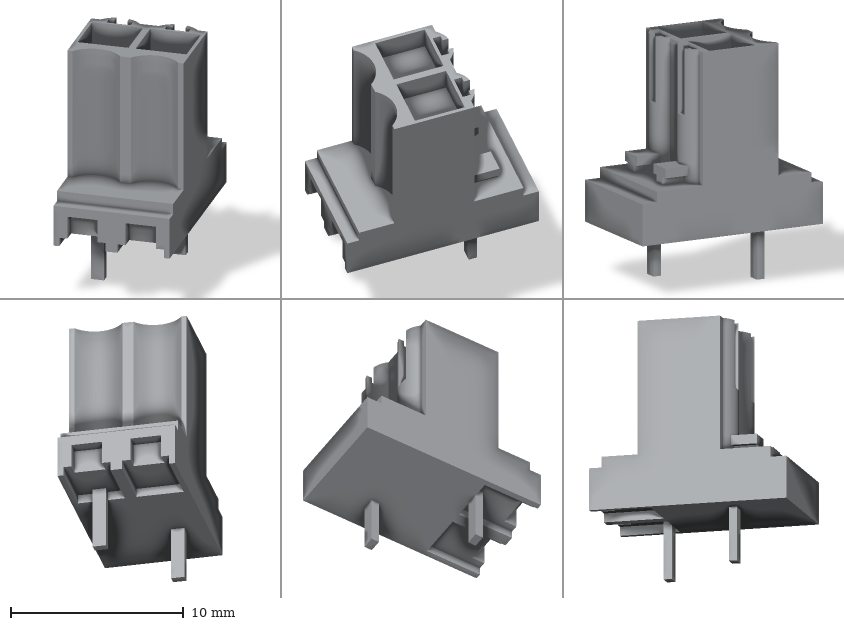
import cadquery as cq


total_height = 14.3

pitch = 3.5
pole_count = 2
pole_xs = [(index - (pole_count - 1) / 2) * pitch for index in range(pole_count)]

housing_width = pole_count * pitch
base_length = 11.85
base_height = 3.15
step_height = 2.5
front_step_length = 0.73
rear_step_length = 0.96

tower_front = 2.9
tower_rear = 7.86
scallop_depth = 0.72
scallop_half_width = 1.43
bulge_height = 0.56
bulge_half_width = 1.19

pocket_size = 3.07
pocket_front = 4.26
pocket_depth = 1.4

slot_depth = 4.0
slot_head_width = 1.46
slot_head_front = 7.52
slot_head_rear = 8.01
slot_neck_width = 0.77

lug_rear = 9.8
lug_neck_top = 3.6
lug_top = 4.18

window_width = 1.83
window_top = 1.92
window_depth = 0.82
channel_width = 2.8
channel_height = 0.53

pin_width = 0.79
pin_thickness = 0.5
pin_projection = 3.2
front_pin_y = 3.36
pin_stagger = 4.9
pin_ys = [front_pin_y, front_pin_y + pin_stagger]

tower_top = total_height - pin_projection
channel_depth = front_pin_y + pin_thickness / 2
bulge_rear = tower_rear + bulge_height


def block(x_center, width, y_front, y_rear, z_bottom, z_top):
    """Box centred on x_center, between the given Y and Z limits."""
    return (
        cq.Workplane("XY")
        .box(width, y_rear - y_front, z_top - z_bottom, centered=(True, False, False))
        .translate((x_center, y_front, z_bottom))
    )


def arc_column(x_center, y_chord, half_width, rise):
    """Upright circular segment on the tower, bulging toward +Y from its chord."""
    return (
        cq.Workplane("XY", origin=(x_center, y_chord, base_height))
        .moveTo(-half_width, 0)
        .threePointArc((0, rise), (half_width, 0))
        .close()
        .extrude(tower_top - base_height)
    )


def make_base():
    """Stepped base, with a low ledge along the front and the rear."""
    lower = block(0, housing_width, 0, base_length, 0, step_height)
    upper_rear = base_length - rear_step_length
    upper = block(0, housing_width, front_step_length, upper_rear, 0, base_height)
    return lower.union(upper)


def make_lug(x):
    """Lug with a wide head on a narrow neck, rooted in the tower."""
    neck = block(x, slot_neck_width, slot_head_rear, lug_rear, base_height, lug_neck_top)
    head = block(x, slot_head_width, slot_head_rear, lug_rear, lug_neck_top, lug_top)
    return neck.union(head)


def make_t_slot(x):
    """Cutter for the slot: a wide head inside the tower and a neck through the bulge."""
    slot_floor = tower_top - slot_depth
    head = block(x, slot_head_width, slot_head_front, slot_head_rear, slot_floor, tower_top)
    neck = block(x, slot_neck_width, slot_head_front, bulge_rear, slot_floor, tower_top)
    return head.union(neck)


def make_pocket(x):
    """Cutter for the square pocket."""
    pocket_rear = pocket_front + pocket_size
    return block(x, pocket_size, pocket_front, pocket_rear, tower_top - pocket_depth, tower_top)


def make_front_opening(x):
    """Cutter for the shallow window and the deeper, wider channel under it."""
    window = block(x, window_width, 0, window_depth, 0, window_top)
    channel = block(x, channel_width, 0, channel_depth, 0, channel_height)
    return window.union(channel)


def make_pin(x, y):
    """Rectangular pin, from below the housing up to the channel ceiling level."""
    y_front = y - pin_thickness / 2
    return block(x, pin_width, y_front, y_front + pin_thickness, -pin_projection, channel_height)


def make_housing(pins):
    """Housing with the features of each pole and a seat for each pin."""
    tower = block(0, housing_width, tower_front, tower_rear, 0, tower_top)
    body = make_base().union(tower)
    for x in pole_xs:
        body = body.union(arc_column(x, tower_rear, bulge_half_width, bulge_height))
        body = body.union(make_lug(x))
        body = body.cut(arc_column(x, tower_front, scallop_half_width, scallop_depth))
        body = body.cut(make_pocket(x))
        body = body.cut(make_t_slot(x))
        body = body.cut(make_front_opening(x))
    for pin in pins:
        body = body.cut(pin)
    return body


contact_pins = [make_pin(x, y) for x, y in zip(pole_xs, pin_ys)]
housing = make_housing(contact_pins)

result = cq.Compound.makeCompound([housing.val(), *[pin.val() for pin in contact_pins]])